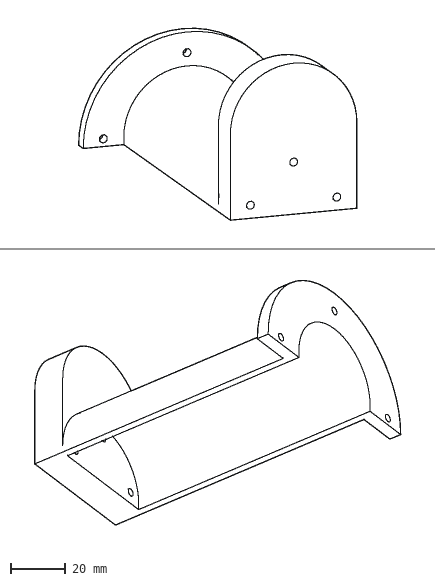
import cadquery as cq

total_length = 120.0
flange_thickness = 5.0
end_plate_thickness = 13.0
flange_diameter = 82.0
shell_outer_radius = 25.0
shell_inner_radius = 22.0
shell_axis_height = 3.0
end_plate_arc_height = 33.0
hole_diameter = 3.0

flange_hole_offset = 33.0
flange_hole_centres = [
    (-flange_hole_offset, shell_axis_height),
    (flange_hole_offset, shell_axis_height),
    (0, flange_hole_offset),
]
end_hole_offset = 17.0
end_hole_height = 5.0
end_top_hole_height = 20.0
end_hole_centres = [
    (-end_hole_offset, end_hole_height),
    (end_hole_offset, end_hole_height),
    (0, end_top_hole_height),
]

end_plate_start = total_length - end_plate_thickness


def arch(start, length, radius, axis_height):
    """Solid along X with a flat base, straight sides and a half-round top."""
    return (
        cq.Workplane("YZ", origin=(start, 0, 0))
        .moveTo(-radius, 0)
        .lineTo(-radius, axis_height)
        .threePointArc((0, axis_height + radius), (radius, axis_height))
        .lineTo(radius, 0)
        .close()
        .extrude(length)
    )


def holes(start, length, centres):
    """Round cutters along X at the given centres."""
    return (
        cq.Workplane("YZ", origin=(start, 0, 0))
        .pushPoints(centres)
        .circle(hole_diameter / 2)
        .extrude(length)
    )


flange_radius = flange_diameter / 2
flange = (
    cq.Workplane("YZ")
    .moveTo(-flange_radius, 0)
    .threePointArc((0, flange_radius), (flange_radius, 0))
    .close()
    .extrude(flange_thickness)
)

shell = arch(0, total_length, shell_outer_radius, shell_axis_height)
end_plate = arch(end_plate_start, end_plate_thickness, shell_outer_radius, end_plate_arc_height)

channel = arch(0, end_plate_start, shell_inner_radius, shell_axis_height)

result = (
    flange.union(shell)
    .union(end_plate)
    .cut(channel)
    .cut(holes(0, flange_thickness, flange_hole_centres))
    .cut(holes(end_plate_start, end_plate_thickness, end_hole_centres))
)